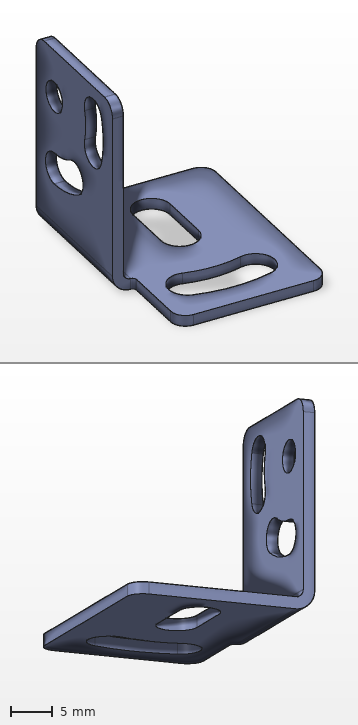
import cadquery as cq
import math

length = 30.0
depth = 23.5
height = 26.5
thickness = 1.5

flange_width = 19.0
inner_bend_radius = 1.0
bend_radius = inner_bend_radius + thickness
corner_radius = 2.0
tab_front = 3.0
relief_radius = tab_front - bend_radius

pivot = (4.5, 20.0)
pivot_hole_diameter = 4.08
flange_slot_path_radius = 10.0
flange_slot_width = 4.32

base_slot_start = (6.0, 12.5)
base_slot_travel = 7.0
base_slot_width = 5.1
base_arc_path_radius = 18.0
base_arc_width = 5.22

half_sweep = 15.0


def arc_slot(plane, center, path_radius, width, start, end):
    """Cutter for a round-ended slot along an arc, angles in degrees."""
    def point(radius, angle):
        a = math.radians(angle)
        return (center[0] + radius * math.cos(a), center[1] + radius * math.sin(a))

    middle = (start + end) / 2
    inner = path_radius - width / 2
    outer = path_radius + width / 2
    tip_radius = math.hypot(path_radius, width / 2)
    tip_angle = math.degrees(math.atan2(width / 2, path_radius))
    return (
        cq.Workplane(plane)
        .moveTo(*point(inner, start))
        .threePointArc(point(inner, middle), point(inner, end))
        .threePointArc(point(tip_radius, end + tip_angle), point(outer, end))
        .threePointArc(point(outer, middle), point(outer, start))
        .threePointArc(point(tip_radius, start - tip_angle), point(inner, start))
        .close()
        .extrude(thickness, both=True)
    )


def make_base():
    """Flat base with a tab beyond the flange and a relief fillet beside the bend."""
    plate = (
        cq.Workplane("XY")
        .moveTo(0, bend_radius)
        .lineTo(flange_width, bend_radius)
        .radiusArc((flange_width + relief_radius, tab_front), relief_radius)
        .lineTo(length, tab_front)
        .lineTo(length, depth)
        .lineTo(0, depth)
        .close()
        .extrude(thickness)
    )
    rounded_corners = plate.edges("|Z").edges(">X or (<X and >Y)")
    plate = rounded_corners.fillet(corner_radius)
    straight_slot = (
        cq.Workplane("XY")
        .center(base_slot_start[0] + base_slot_travel / 2, base_slot_start[1])
        .slot2D(base_slot_travel + base_slot_width, base_slot_width)
        .extrude(thickness)
    )
    curved_slot = arc_slot(
        "XY", base_slot_start, base_arc_path_radius, base_arc_width, -half_sweep, half_sweep
    )
    return plate.cut(straight_slot).cut(curved_slot)


def make_bend():
    """Quarter-round bend joining the base to the upright flange."""
    diagonal = math.sqrt(0.5)
    outer_middle = bend_radius * (1 - diagonal)
    inner_middle = bend_radius - inner_bend_radius * diagonal
    return (
        cq.Workplane("YZ")
        .moveTo(bend_radius, 0)
        .threePointArc((outer_middle, outer_middle), (0, bend_radius))
        .lineTo(thickness, bend_radius)
        .threePointArc((inner_middle, inner_middle), (bend_radius, thickness))
        .close()
        .extrude(flange_width)
    )


def make_flange():
    """Upright flange with rounded top corners, pivot hole and arc slots."""
    plate = (
        cq.Workplane("XY", origin=(0, 0, bend_radius))
        .box(flange_width, thickness, height - bend_radius, centered=False)
        .edges("|Y and >Z")
        .fillet(corner_radius)
    )
    pivot_hole = (
        cq.Workplane("XZ")
        .center(*pivot)
        .circle(pivot_hole_diameter / 2)
        .extrude(-thickness)
    )
    plate = plate.cut(pivot_hole)
    for start, end in ((-half_sweep, half_sweep), (-90, -90 + 2 * half_sweep)):
        plate = plate.cut(
            arc_slot("XZ", pivot, flange_slot_path_radius, flange_slot_width, start, end)
        )
    return plate


result = make_base().union(make_bend()).union(make_flange())